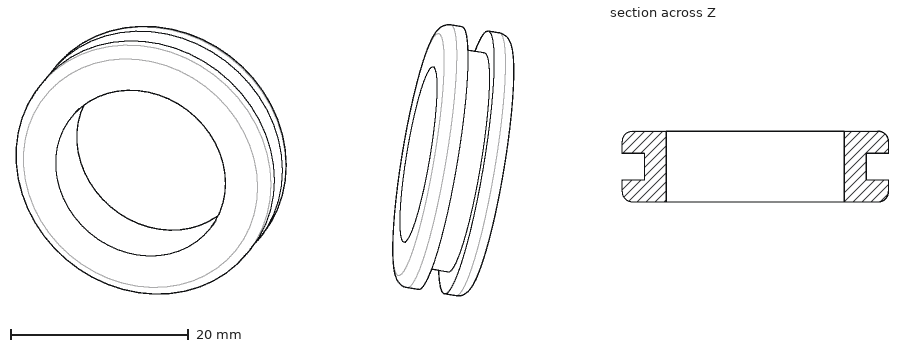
import cadquery as cq

outer_diameter = 30.0
bore_diameter = 20.0
groove_diameter = 25.0
width = 8.0
groove_width = 3.0
rim_fillet = 1.2


def cylinder(diameter, length):
    """Solid cylinder along Y, centred on the XZ plane."""
    return (
        cq.Workplane("XZ", origin=(0, length / 2, 0))
        .circle(diameter / 2)
        .extrude(length)
    )


def rounded_disc():
    """Full-width disc with the rim of both end faces rounded."""
    return cylinder(outer_diameter, width).faces("<Y or >Y").edges().fillet(rim_fillet)


def groove():
    """Ring of material around the middle, whose removal leaves a flange at each end."""
    return cylinder(outer_diameter, groove_width).cut(cylinder(groove_diameter, groove_width))


def bore():
    """Through bore along the axis."""
    return cylinder(bore_diameter, width)


result = rounded_disc().cut(groove()).cut(bore())